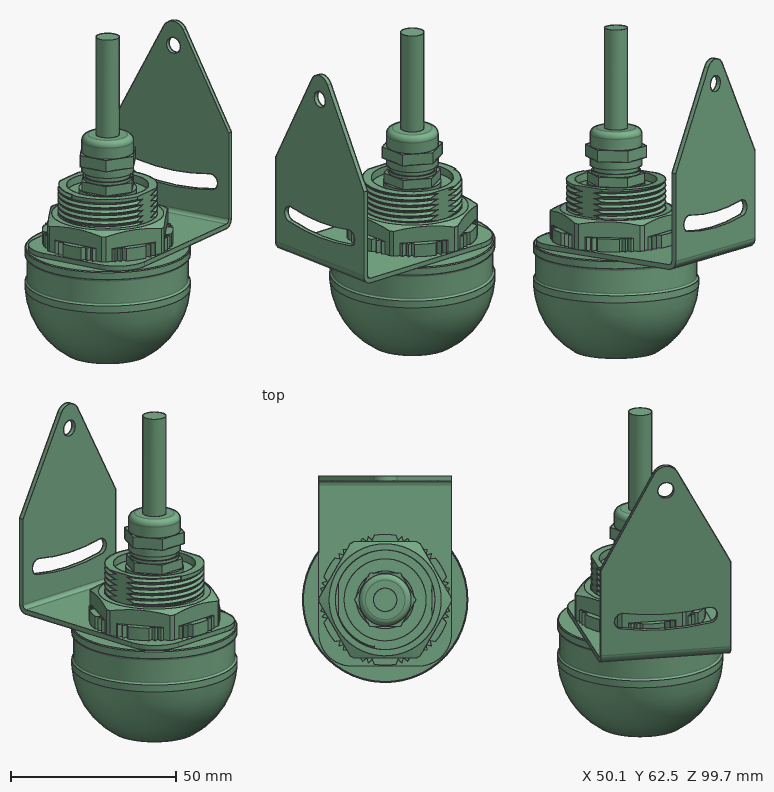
import cadquery as cq
import math

total_height = 99.7
dome_height = 19.9
rim_top = 22.1
flange_bottom = 30.5
flange_top = 33.0
sheet_thickness = 1.5
sheet_top = flange_top + sheet_thickness
nut_top = 43.7
stem_top = 52.8

housing_diameter = 50.1
waist_diameter = 48.9
waist_fillet = (housing_diameter - waist_diameter) / 2
flange_edge_chamfer = 0.3
sphere_centre_height = 21.4
stem_diameter = 30.1
stem_flats_width = 28.3
thread_depth = 0.75
thread_pitch = 1.75
thread_groove_width = 1.5
thread_start = 35.5
thread_length = 17.0
groove_overshoot = 0.1
recess_diameter = 24.8
recess_floor = 50.4

bracket_width = 40.2
bracket_front = 20.0
bracket_back = 37.5
bracket_corner_radius = 10.0
bend_inner_radius = 1.3
bend_outer_radius = bend_inner_radius + sheet_thickness
shoulder_height = 63.0
tip_radius = 4.1
tip_top = 95.0
pivot_height = 87.4
pivot_hole_diameter = 5.0
slot_width = 5.0
slot_lowest = 45.2
slot_radius = 74.8
slot_half_length = 13.5

nut_across_flats = 35.3
nut_corner_diameter = 40.0
nut_chamfer_circle = 33.9
nut_chamfer_drop = 1.2
grip_diameter = 39.6
grip_valley_diameter = 36.8
grip_height = 4.0
pad_half_angle = 9.6
tooth_angles = (14.9, 20.1)
tooth_half_angle = 2.6

gland_base_diameter = 17.5
gland_hex_bottom = 51.9
gland_hex_top = 54.9
gland_hex_flats = 15.2
collar_top = 55.7
collar_diameter = 14.8
neck_top = 57.2
neck_diameter = 13.8
cap_diameter = 15.8
cap_flat_diameter = 12.0
cap_hex_bottom = 59.7
cap_hex_top = 63.3
cap_hex_flats = 16.2
cap_top = 68.7
cable_diameter = 7.1


def cylinder(diameter, bottom, top):
    return cq.Workplane("XY").workplane(offset=bottom).circle(diameter / 2).extrude(top - bottom)


def hexagon(across_flats, bottom, top):
    """Hexagonal prism with two corners on the X axis."""
    across_corners = across_flats / math.cos(math.radians(30))
    return cq.Workplane("XY").workplane(offset=bottom).polygon(6, across_corners).extrude(top - bottom)


def polar_point(radius, angle):
    """Point at an angle in degrees, measured clockwise from +Y."""
    turn = math.radians(angle)
    return (radius * math.sin(turn), radius * math.cos(turn))


def make_dome():
    """Part of a sphere that meets the rim at its full diameter and has a flat bottom."""
    sphere_radius = math.hypot(housing_diameter / 2, sphere_centre_height - dome_height)
    sphere = cq.Workplane("XY").sphere(sphere_radius).translate((0, 0, sphere_centre_height))
    return sphere.intersect(cylinder(housing_diameter, 0, dome_height))


def thread_groove():
    """Helical V groove, ending at the top of the stem."""
    radius = stem_diameter / 2
    half_width = thread_groove_width / 2 * (1 + groove_overshoot / thread_depth)
    path = cq.Wire.makeHelix(thread_pitch, thread_length, radius)
    profile = (
        cq.Workplane("XZ")
        .moveTo(radius - thread_depth, 0)
        .lineTo(radius + groove_overshoot, -half_width)
        .lineTo(radius + groove_overshoot, half_width)
        .close()
    )
    groove = profile.sweep(cq.Workplane(obj=path), isFrenet=True)
    return groove.translate((0, 0, thread_start))


def make_stem():
    """Threaded stem with two flats facing -X and +X and a recess in its top."""
    stem = cylinder(stem_diameter, sheet_top, stem_top).cut(thread_groove())
    flats = cq.Workplane("XY").workplane(offset=sheet_top).rect(stem_flats_width, 2 * stem_diameter)
    stem = stem.intersect(flats.extrude(stem_top - sheet_top))
    stem = stem.cut(cylinder(recess_diameter, recess_floor, stem_top))
    return stem.union(cylinder(stem_diameter, flange_top, sheet_top))


def make_housing():
    """Round body with a waist between two rims, carrying the stem."""
    rim = housing_diameter / 2
    waist = waist_diameter / 2
    arc_offset = waist_fillet * (1 - math.sqrt(0.5))
    body = (
        cq.Workplane("XZ")
        .moveTo(0, dome_height)
        .lineTo(rim, dome_height)
        .lineTo(rim, rim_top)
        .threePointArc((waist + arc_offset, rim_top + arc_offset), (waist, rim_top + waist_fillet))
        .lineTo(waist, flange_bottom - waist_fillet)
        .threePointArc((waist + arc_offset, flange_bottom - arc_offset), (rim, flange_bottom))
        .lineTo(rim, flange_top - flange_edge_chamfer)
        .lineTo(rim - flange_edge_chamfer, flange_top)
        .lineTo(0, flange_top)
        .close()
        .revolve(360, (0, 0, 0), (0, 1, 0))
    )
    return body.union(make_stem())


def shoulder_tangent_point():
    """Point (x, z) where the sloped +X shoulder runs tangent into the rounded tip."""
    half = bracket_width / 2
    centre = tip_top - tip_radius
    reach = math.hypot(half, centre - shoulder_height)
    slope = math.atan2(centre - shoulder_height, half) - math.acos(tip_radius / reach)
    return (tip_radius * math.cos(slope), centre - tip_radius * math.sin(slope))


def make_bracket():
    """Bent sheet: a plate under the nut and an upright that narrows to a rounded tip."""
    half = bracket_width / 2
    depth = bracket_back + bracket_front
    height = tip_top - flange_top
    tangent_x, tangent_z = shoulder_tangent_point()

    block = cq.Workplane("XY").box(bracket_width, depth, height, centered=(True, False, False))
    block = block.translate((0, -bracket_front, flange_top))
    block = block.edges("<Y and |Z").fillet(bracket_corner_radius)
    block = block.edges(">Y and <Z").fillet(bend_outer_radius)
    hollow = cq.Workplane("XY").box(
        2 * bracket_width, 2 * depth, 2 * height, centered=(True, False, False)
    ).translate((0, bracket_back - sheet_thickness - 2 * depth, sheet_top))
    hollow = hollow.edges(">Y and <Z").fillet(bend_inner_radius)

    front_outline = (
        cq.Workplane("XZ", origin=(0, bracket_back, 0))
        .moveTo(-half, flange_top)
        .lineTo(half, flange_top)
        .lineTo(half, shoulder_height)
        .lineTo(tangent_x, tangent_z)
        .threePointArc((0, tip_top), (-tangent_x, tangent_z))
        .lineTo(-half, shoulder_height)
        .close()
        .extrude(depth)
    )
    bracket = block.cut(hollow).intersect(front_outline)
    stem_hole = cylinder(stem_diameter, flange_top, sheet_top)
    return bracket.cut(stem_hole).cut(bracket_openings())


def bracket_openings():
    """Pivot hole and the gently curved slot below it."""
    half_angle = math.degrees(math.asin(slot_half_length / slot_radius))

    def on_slot(radius, angle):
        x, drop = polar_point(radius, angle)
        return (x, slot_lowest + slot_radius - drop)

    outer = slot_radius + slot_width / 2
    inner = slot_radius - slot_width / 2
    cap_angle = math.degrees(slot_width / 2 / slot_radius)
    plane = cq.Workplane("XZ", origin=(0, bracket_back, 0))
    hole = plane.center(0, pivot_height).circle(pivot_hole_diameter / 2).extrude(sheet_thickness)
    slot = (
        plane.moveTo(*on_slot(outer, -half_angle))
        .threePointArc(on_slot(outer, 0), on_slot(outer, half_angle))
        .threePointArc(on_slot(slot_radius, half_angle + cap_angle), on_slot(inner, half_angle))
        .threePointArc(on_slot(inner, 0), on_slot(inner, -half_angle))
        .threePointArc(on_slot(slot_radius, -half_angle - cap_angle), on_slot(outer, -half_angle))
        .close()
        .extrude(sheet_thickness)
    )
    return hole.union(slot)


def nut_grip():
    """Raised pad with serrations on both sides, for the flat that faces +Y."""
    tip = grip_diameter / 2
    valley = grip_valley_diameter / 2
    side = []
    for angle in tooth_angles:
        side.append((valley, angle - tooth_half_angle))
        side.append((tip, angle))
    last_angle = tooth_angles[-1] + tooth_half_angle
    flat_point = nut_across_flats / 2 / math.cos(math.radians(last_angle))
    side.append((flat_point, last_angle))
    outline = cq.Workplane("XY").workplane(offset=sheet_top).moveTo(*polar_point(tip, -pad_half_angle))
    outline = outline.threePointArc((0, tip), polar_point(tip, pad_half_angle))
    for radius, angle in side:
        outline = outline.lineTo(*polar_point(radius, angle))
    outline = outline.lineTo(0, stem_diameter / 2)
    for radius, angle in reversed(side):
        outline = outline.lineTo(*polar_point(radius, -angle))
    return outline.close().extrude(grip_height)


def make_nut():
    """Hexagon nut with turned corners, a chamfered top and a grip on each flat."""
    corner = nut_corner_diameter / 2
    turned = (
        cq.Workplane("XZ")
        .moveTo(0, sheet_top)
        .lineTo(corner, sheet_top)
        .lineTo(corner, nut_top - nut_chamfer_drop)
        .lineTo(nut_chamfer_circle / 2, nut_top)
        .lineTo(0, nut_top)
        .close()
        .revolve(360, (0, 0, 0), (0, 1, 0))
    )
    nut = hexagon(nut_across_flats, sheet_top, nut_top).intersect(turned)
    grip = nut_grip()
    for side in range(6):
        nut = nut.union(grip.rotate((0, 0, 0), (0, 0, 1), 60 * side))
    return nut.cut(cylinder(stem_diameter, sheet_top, nut_top))


def make_gland():
    """Stepped cable gland that stands on the floor of the stem recess."""
    gland = cylinder(gland_base_diameter, recess_floor, gland_hex_bottom)
    gland = gland.union(hexagon(gland_hex_flats, gland_hex_bottom, gland_hex_top))
    gland = gland.union(cylinder(collar_diameter, gland_hex_top, collar_top))
    gland = gland.union(cylinder(neck_diameter, collar_top, neck_top))
    cap = cylinder(cap_diameter, neck_top, cap_top)
    cap = cap.faces(">Z").edges().fillet((cap_diameter - cap_flat_diameter) / 2)
    cap = cap.union(hexagon(cap_hex_flats, cap_hex_bottom, cap_hex_top))
    return gland.union(cap)


dome = make_dome()
housing = make_housing()
bracket = make_bracket()
nut = make_nut()
gland = make_gland()
cable = cylinder(cable_diameter, cap_top, total_height)

result = cq.Compound.makeCompound([
    dome.solids().val(),
    housing.solids().val(),
    bracket.solids().val(),
    nut.solids().val(),
    gland.solids().val(),
    cable.solids().val(),
])